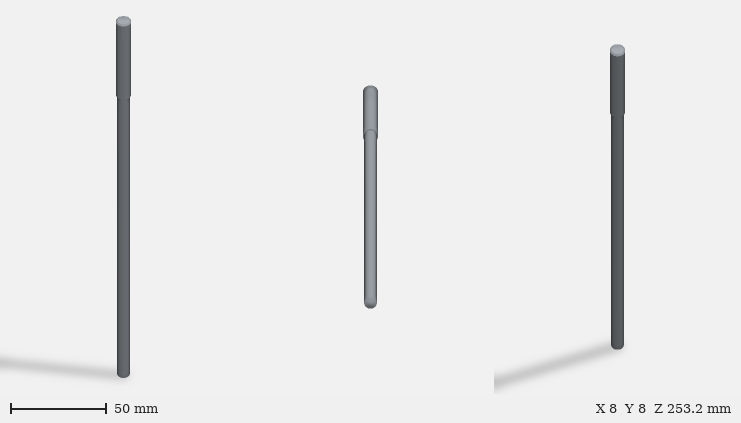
import cadquery as cq
import math

overall_length = 253.2
shank_diameter = 8.0
shank_length = 53.0
shank_chamfer = 0.8
drill_diameter = 6.6
neck_length = 34.0
point_angle = 140.0

shank_radius = shank_diameter / 2
drill_radius = drill_diameter / 2
point_height = drill_radius / math.tan(math.radians(point_angle / 2))
shank_bottom = overall_length - shank_length
neck_bottom = shank_bottom - neck_length


def turned(profile):
    """Revolve a closed (radius, height) half profile about Z, starting on the -Y side."""
    points = [(-radius, height) for radius, height in profile]
    return cq.Workplane("YZ").polyline(points).close().revolve(360, (0, 0), (0, 1))


def make_holder():
    """Chamfered clamping shank with the slimmer neck below it."""
    return turned([
        (0, neck_bottom),
        (drill_radius, neck_bottom),
        (drill_radius, shank_bottom),
        (shank_radius, shank_bottom),
        (shank_radius, overall_length - shank_chamfer),
        (shank_radius - shank_chamfer, overall_length),
        (0, overall_length),
    ])


def make_cutting_part():
    """Plain cylindrical cutting length ending in a conical point."""
    return turned([
        (0, 0),
        (drill_radius, point_height),
        (drill_radius, neck_bottom),
        (0, neck_bottom),
    ])


holder = make_holder()
cutting_part = make_cutting_part()

result = cq.Compound.makeCompound([holder.val(), cutting_part.val()])